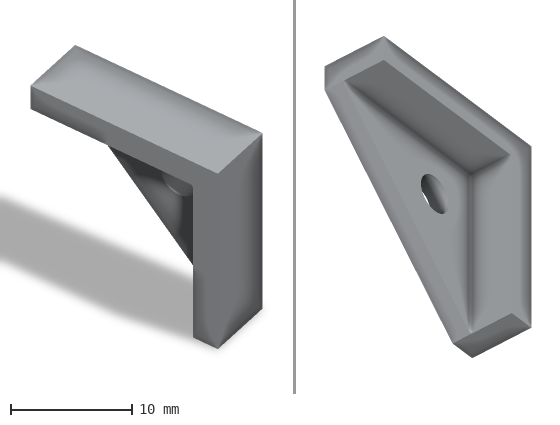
import cadquery as cq

width = 19.07
depth = 6.35
height = 19.11

wall = 2.55
plate_thickness = 1.93
fillet_radius = 0.25

hole_diameter = 3.6
hole_offset = 7.15

wall_inner_x = width - wall
wall_inner_z = height - wall
plate_front_y = depth - plate_thickness


def make_body():
    """Top wall, side wall and the triangle between them, at full depth."""
    outline = [
        (0, height),
        (width, height),
        (width, 0),
        (wall_inner_x, 0),
        (0, wall_inner_z),
    ]
    return cq.Workplane("XZ").polyline(outline).close().extrude(-depth)


def make_pocket():
    """Space in front of the plate, with its inner edges rounded."""
    pocket = cq.Workplane("XY").box(
        2 * wall_inner_x, 2 * plate_front_y, 2 * wall_inner_z
    )
    pocket = pocket.edges("(>X and >Z) or (>X and >Y) or (>Y and >Z)")
    return pocket.fillet(fillet_radius)


def make_hole():
    """Round cutter running through the full depth."""
    return (
        cq.Workplane("XZ")
        .center(width - hole_offset, height - hole_offset)
        .circle(hole_diameter / 2)
        .extrude(-depth)
    )


result = make_body().cut(make_pocket()).cut(make_hole())